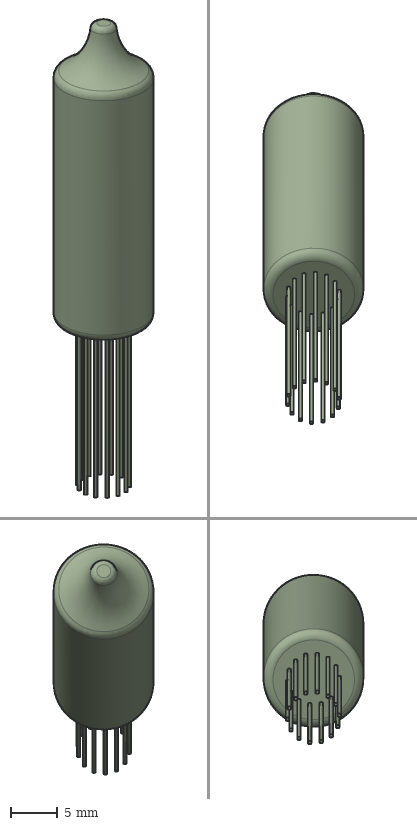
import cadquery as cq

total_height = 56.0
body_radius = 10.8 / 2

pin_length = 20.0
shoulder_height = 50.0
neck_height = 52.3

neck_radius = 2.5
tip_radius = 1.4

base_fillet = 1.0
shoulder_fillet = 1.0
tip_fillet = 0.7

pin_count = 14
pin_diameter = 0.4
pin_circle_radius = 2.8
pin_embed = 0.3
first_pin_angle = 90.0


def glass_body():
    """Revolved envelope: cylinder closing to a slim tip along a concave arc."""
    outline = (
        cq.Workplane("XZ")
        .moveTo(0, pin_length)
        .lineTo(body_radius, pin_length)
        .lineTo(body_radius, shoulder_height)
        .threePointArc((neck_radius, neck_height), (tip_radius, total_height))
        .lineTo(0, total_height)
        .close()
    )
    body = outline.revolve(360, (0, 0, 0), (0, 1, 0))
    body = round_edge(body, body_radius, pin_length, base_fillet)
    body = round_edge(body, body_radius, shoulder_height, shoulder_fillet)
    return round_edge(body, tip_radius, total_height, tip_fillet)


def round_edge(body, edge_radius, height, fillet_radius):
    """Round the circular edge of the given radius at the given height."""
    margin = 0.05
    reach = edge_radius + margin
    edge_box = cq.selectors.BoxSelector(
        (-reach, -reach, height - margin),
        (reach, reach, height + margin),
        boundingbox=True,
    )
    return body.edges("%CIRCLE").edges(edge_box).fillet(fillet_radius)


def pins():
    """Ring of equally spaced straight pins below the body."""
    return (
        cq.Workplane("XY")
        .polarArray(pin_circle_radius, first_pin_angle, 360, pin_count)
        .circle(pin_diameter / 2)
        .extrude(pin_length + pin_embed)
    )


result = glass_body().union(pins())